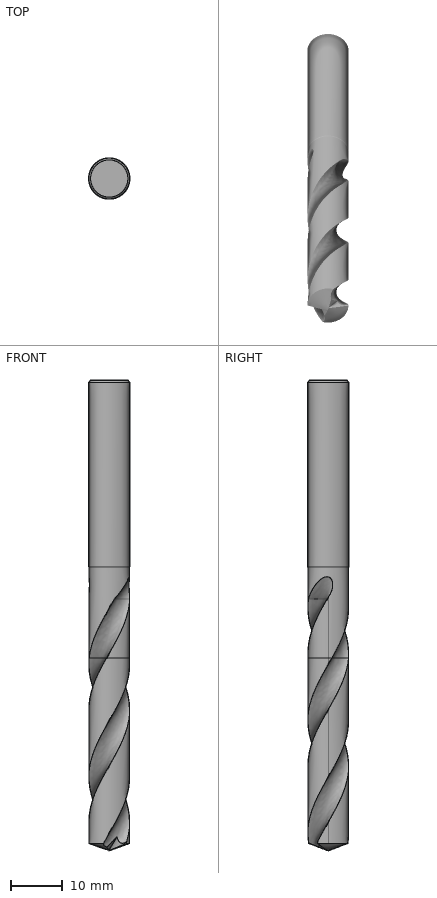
import cadquery as cq
import math

shank_diameter = 8.0
drill_diameter = 7.9
overall_length = 91.0
shank_length = 36.0
cutting_length = 37.25
shank_top_chamfer = 0.4
shank_bottom_taper_height = 0.2
point_angle = 140.0

flute_count = 2
flute_length = 53.0
runout_length = 4.3
helix_angle = 30.0
core_radius = 1.6
flute_opening_angle = 72.0
flute_tip_angle = 278.0

gash_root_offset = 0.3
gash_root_azimuth = -27.0
gash_root_elevation = 56.0
gash_size = 6.0

shank_radius = shank_diameter / 2
drill_radius = drill_diameter / 2
shank_bottom = overall_length - shank_length
point_height = drill_radius / math.tan(math.radians(point_angle / 2))
lead = math.pi * shank_diameter / math.tan(math.radians(helix_angle))
helix_top = flute_length - runout_length

opening_reach = drill_radius * math.cos(math.radians(flute_opening_angle / 2))
flute_section_radius = (
    (drill_radius**2 + core_radius**2 - 2 * opening_reach * core_radius)
    / (2 * (opening_reach - core_radius))
)
flute_centre_distance = core_radius + flute_section_radius


def polar_point(radius, angle, z):
    return cq.Vector(
        radius * math.cos(math.radians(angle)),
        radius * math.sin(math.radians(angle)),
        z,
    )


def twist_at(z):
    return 360 * z / lead


def drill_blank():
    return (
        cq.Workplane("XZ")
        .moveTo(0, 0)
        .lineTo(drill_radius, point_height)
        .lineTo(drill_radius, shank_bottom - shank_bottom_taper_height)
        .lineTo(shank_radius, shank_bottom)
        .lineTo(shank_radius, overall_length - shank_top_chamfer)
        .lineTo(shank_radius - shank_top_chamfer, overall_length)
        .lineTo(0, overall_length)
        .close()
        .revolve(360, (0, 0, 0), (0, 1, 0))
    )


def helical_flute(start_angle):
    start = polar_point(flute_centre_distance, start_angle, 0)
    return (
        cq.Workplane("XY")
        .moveTo(start.x, start.y)
        .circle(flute_section_radius)
        .twistExtrude(helix_top, twist_at(helix_top))
    )


def flute_runout(start_angle):
    start = polar_point(flute_centre_distance, start_angle + twist_at(helix_top), helix_top)
    end = polar_point(
        drill_radius + flute_section_radius,
        start_angle + twist_at(flute_length),
        flute_length,
    )
    section = cq.Wire.makeCircle(flute_section_radius, start, cq.Vector(0, 0, 1))
    return cq.Workplane(cq.Solid.extrudeLinear(section, [], end - start))


def point_gash():
    azimuth = math.radians(gash_root_azimuth)
    root_direction = polar_point(
        math.cos(math.radians(gash_root_elevation)),
        gash_root_azimuth,
        math.sin(math.radians(gash_root_elevation)),
    )
    across_heel = cq.Vector(math.sin(azimuth), -math.cos(azimuth), 0)
    root_start = across_heel * gash_root_offset
    notch_plane = cq.Plane(root_start, across_heel, root_direction)
    return (
        cq.Workplane(notch_plane)
        .rect(gash_size, gash_size, centered=False)
        .extrude(gash_size, both=True)
    )


drill = drill_blank()
gash = point_gash()
for flute in range(flute_count):
    turn = flute * 360 / flute_count
    flute_angle = flute_tip_angle + turn
    drill = drill.cut(helical_flute(flute_angle)).cut(flute_runout(flute_angle))
    drill = drill.cut(gash.rotate((0, 0, 0), (0, 0, 1), turn))

cutting_zone = cq.Workplane("XY").circle(shank_diameter).extrude(cutting_length)
cutting_head = drill.intersect(cutting_zone)
shank = drill.cut(cutting_zone)

result = cq.Compound.makeCompound([cutting_head.val(), shank.val()])